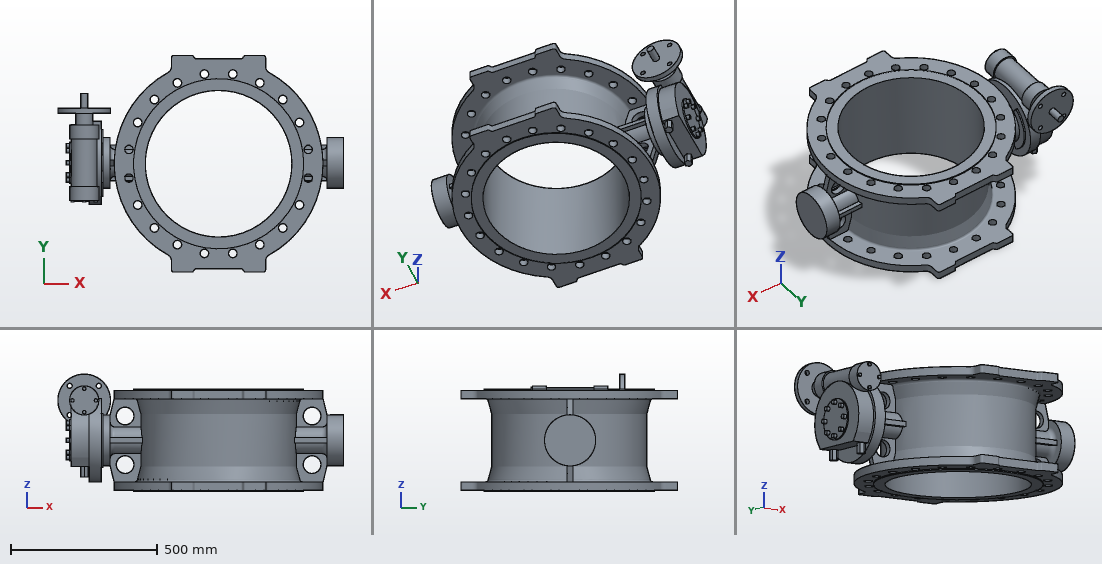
import cadquery as cq
import math


overall_length = 977.5
overall_width = 742.0
overall_height = 402.0

bore_d = 500.0
body_r = 266.0
body_straight_half = 90.0
neck_r = 278.0
neck_fillet = 9.0
face_to_face = 350.0
raised_face_d = 582.0
raised_face_height = 4.0
flange_d = 714.0
flange_thickness = 29.0
bolt_circle_d = 621.0
bolt_hole_d = 28.0
bolt_count = 20

flange_outer_z = face_to_face / 2 - raised_face_height
flange_inner_z = flange_outer_z - flange_thickness

foot_half_width = 161.0
foot_relief_depth = 12.0
foot_relief_half_width = 80.0
foot_relief_run = 9.0
foot_corner_fillet = 9.0
foot_relief_fillet = 6.0
foot_root_fillet = 23.0

select_margin = 1.0

stem_y = 3.0
stem_r = 47.0
stem_flare = 16.0
pad_inner_x = 370.0
pad_d = 175.0
web_thickness = 21.0
web_end_x = 358.0
web_tip_z = 90.0
web_hole_d = 60.0
web_hole_x = 320.0
web_hole_z = 83.0
rib_width = 123.0
rib_thickness = 18.0

pad_outer_x = -395.0
disc_inner_x = -401.0
case_inner_x = -443.0
case_outer_x = -504.0
cover_outer_x = -509.0
cover_bolt_outer_x = -521.0

spacer_d = 229.0
spacer_half_angle = 54.0
disc_d = 285.0
case_r = 132.0
case_shoulder_z = -60.0
case_flat_z = -90.0
case_flat_half_width = 99.0
cover_d = 143.0
cover_bolt_d = 16.0
cover_bolt_circle_r = 59.0
cover_bolt_count = 8

stop_corner_d = 28.0
stop_turn = 6.0
stop_spacing = 164.0
stop_length = 36.0

worm_x = -459.0
worm_cap_d = 100.0
worm_tube_d = 89.0
worm_half_length = 129.0
worm_cap_length = 48.0
cap_screw_d = 12.0
cap_screw_r = 40.0
cap_screw_height = 5.0
worm_neck_d = 60.0
input_flange_d = 181.0
input_flange_thickness = 19.0
input_flange_y = 169.0
input_hole_d = 17.0
input_hole_offset = 50.0
input_shaft_d = 25.0
input_shaft_end_y = 238.0

worm_z = overall_height - face_to_face / 2 - input_flange_d / 2
pad_end_x = overall_length + worm_x - input_flange_d / 2


def cylinder_x(diameter, x_start, x_end, y=stem_y, z=0.0):
    """Cylinder along X between two X planes."""
    low = min(x_start, x_end)
    plane = cq.Workplane("YZ", origin=(low, y, z))
    return plane.circle(diameter / 2).extrude(abs(x_end - x_start))


def cylinder_y(diameter, y_start, y_end, x=worm_x, z=worm_z):
    """Cylinder along Y; the Y planes are measured from the stem axis."""
    plane = cq.Workplane("XZ", origin=(x, stem_y + y_end, z))
    return plane.circle(diameter / 2).extrude(y_end - y_start)


def pipe_body():
    """Waisted barrel with raised faces, before boring."""
    arc_middle_r = neck_r + neck_fillet * (1 - math.cos(math.pi / 4))
    arc_start_z = flange_inner_z - neck_fillet
    arc_middle_z = arc_start_z + neck_fillet * math.sin(math.pi / 4)
    top_half = (
        cq.Workplane("XZ")
        .lineTo(body_r, 0)
        .lineTo(body_r, body_straight_half)
        .lineTo(neck_r, arc_start_z)
        .threePointArc((arc_middle_r, arc_middle_z), (neck_r + neck_fillet, flange_inner_z))
        .lineTo(raised_face_d / 2, flange_inner_z)
        .lineTo(raised_face_d / 2, face_to_face / 2)
        .lineTo(0, face_to_face / 2)
        .close()
        .revolve(360, (0, 0, 0), (0, 1, 0))
    )
    return top_half.union(top_half.mirror("XY"))


def edges_in_band(half_width, y_start, y_end):
    """Selector for flange edges within a band of X and Y, over the full flange thickness."""
    return cq.selectors.BoxSelector(
        (-half_width - select_margin, y_start - select_margin, -select_margin),
        (half_width + select_margin, y_end + select_margin, flange_thickness + select_margin),
    )


def flange_blank():
    """Round flange with a pair of relieved feet on each Y side, resting on Z = 0."""
    foot_y = overall_width / 2
    relief_y = foot_y - foot_relief_depth
    relief_outer = foot_relief_half_width + foot_relief_run
    root_y = math.sqrt((flange_d / 2) ** 2 - foot_half_width ** 2)

    feet = (
        cq.Workplane("XY")
        .rect(2 * foot_half_width, overall_width)
        .extrude(flange_thickness)
        .edges("|Z")
        .fillet(foot_corner_fillet)
    )
    blank = cq.Workplane("XY").circle(flange_d / 2).extrude(flange_thickness).union(feet)
    roots = edges_in_band(foot_half_width, -root_y, root_y)
    blank = blank.edges("|Z").edges(roots).fillet(foot_root_fillet)

    relief = (
        cq.Workplane("XY")
        .moveTo(-relief_outer, foot_y)
        .lineTo(-foot_relief_half_width, relief_y)
        .lineTo(foot_relief_half_width, relief_y)
        .lineTo(relief_outer, foot_y)
        .close()
        .extrude(flange_thickness)
    )
    blank = blank.cut(relief).cut(relief.mirror("XZ"))
    for y_start, y_end in ((relief_y, foot_y), (-foot_y, -relief_y)):
        corners = edges_in_band(relief_outer, y_start, y_end)
        blank = blank.edges("|Z").edges(corners).fillet(foot_relief_fillet)
    return blank


def bolt_holes():
    """Flange bolt holes, straddling the X and Y axes."""
    half_pitch = 180 / bolt_count
    return (
        cq.Workplane("XY", origin=(0, 0, flange_inner_z))
        .polarArray(bolt_circle_d / 2, half_pitch, 360, bolt_count)
        .circle(bolt_hole_d / 2)
        .extrude(flange_thickness)
    )


def stem_side():
    """Stem boss with its web and rib on the +X side, reaching in to the pipe axis."""
    arc_drop = stem_flare * (1 - math.cos(math.pi / 4))
    flare_start_x = pad_inner_x - stem_flare
    boss = (
        cq.Workplane("XY", origin=(0, stem_y, 0))
        .lineTo(0, stem_r)
        .lineTo(flare_start_x, stem_r)
        .threePointArc(
            (flare_start_x + stem_flare * math.sin(math.pi / 4), stem_r + arc_drop),
            (pad_inner_x, stem_r + stem_flare),
        )
        .lineTo(pad_inner_x, 0)
        .close()
        .revolve(360, (0, 0, 0), (1, 0, 0))
    )
    web = (
        cq.Workplane("XZ", origin=(0, stem_y + web_thickness / 2, 0))
        .moveTo(0, flange_inner_z)
        .lineTo(web_end_x, flange_inner_z)
        .lineTo(pad_inner_x, web_tip_z)
        .lineTo(pad_inner_x, -web_tip_z)
        .lineTo(web_end_x, -flange_inner_z)
        .lineTo(0, -flange_inner_z)
        .close()
        .extrude(web_thickness)
    )
    holes = (
        cq.Workplane("XZ", origin=(0, stem_y + web_thickness / 2, 0))
        .pushPoints([(web_hole_x, web_hole_z), (web_hole_x, -web_hole_z)])
        .circle(web_hole_d / 2)
        .extrude(web_thickness)
    )
    rib = (
        cq.Workplane("XY", origin=(pad_inner_x / 2, stem_y, 0))
        .box(pad_inner_x, rib_width, rib_thickness)
    )
    return web.cut(holes).union(boss).union(rib)


def spacer():
    """Bow-tie spacer between the stem pad and the gearbox: a hub with two sector wings."""
    outer_r = spacer_d / 2
    wing_y = outer_r * math.cos(math.radians(spacer_half_angle))
    wing_z = outer_r * math.sin(math.radians(spacer_half_angle))
    length = pad_outer_x - disc_inner_x
    shape = cylinder_x(2 * stem_r, disc_inner_x, pad_outer_x)
    for side in (-1, 1):
        wing = (
            cq.Workplane("YZ", origin=(disc_inner_x, stem_y, 0))
            .lineTo(side * wing_y, -wing_z)
            .threePointArc((side * outer_r, 0), (side * wing_y, wing_z))
            .close()
            .extrude(length)
        )
        shape = shape.union(wing)
    return shape


def gear_case():
    """Gear case with its backing disc, bolted cover and two hexagonal stop screws."""
    shoulder_y = math.sqrt(case_r ** 2 - case_shoulder_z ** 2)
    case = (
        cq.Workplane("YZ", origin=(case_outer_x, stem_y, 0))
        .moveTo(shoulder_y, case_shoulder_z)
        .threePointArc((0, case_r), (-shoulder_y, case_shoulder_z))
        .lineTo(-case_flat_half_width, case_flat_z)
        .lineTo(case_flat_half_width, case_flat_z)
        .close()
        .extrude(case_inner_x - case_outer_x)
    )
    case = case.union(cylinder_x(disc_d, case_inner_x, disc_inner_x))
    case = case.union(cylinder_x(cover_d, cover_outer_x, case_outer_x))
    for i in range(cover_bolt_count):
        angle = 2 * math.pi * i / cover_bolt_count
        y = stem_y + cover_bolt_circle_r * math.cos(angle)
        z = cover_bolt_circle_r * math.sin(angle)
        case = case.union(cylinder_x(cover_bolt_d, cover_bolt_outer_x, cover_outer_x, y, z))
    for side in (-1, 1):
        stop = (
            cq.Workplane("XY")
            .polygon(6, stop_corner_d)
            .extrude(-stop_length)
            .rotate((0, 0, 0), (0, 0, 1), 90 + stop_turn)
            .translate((worm_x, stem_y + side * stop_spacing / 2, case_flat_z))
        )
        case = case.union(stop)
    return case


def worm_housing():
    """Worm tube with end caps, cap screws, neck, input flange and input shaft."""
    cap_inner = worm_half_length - worm_cap_length
    flange_end = input_flange_y + input_flange_thickness
    housing = cylinder_y(worm_tube_d, -cap_inner, cap_inner)
    housing = housing.union(cylinder_y(worm_cap_d, -worm_half_length, -cap_inner))
    housing = housing.union(cylinder_y(worm_cap_d, cap_inner, worm_half_length))
    for dx, dz in ((1, 0), (0, 1), (-1, 0), (0, -1)):
        screw = cylinder_y(
            cap_screw_d,
            -worm_half_length - cap_screw_height,
            -worm_half_length,
            worm_x + dx * cap_screw_r,
            worm_z + dz * cap_screw_r,
        )
        housing = housing.union(screw)
    input_flange = cylinder_y(input_flange_d, input_flange_y, flange_end)
    for dx in (-input_hole_offset, input_hole_offset):
        for dz in (-input_hole_offset, input_hole_offset):
            hole = cylinder_y(input_hole_d, input_flange_y, flange_end, worm_x + dx, worm_z + dz)
            input_flange = input_flange.cut(hole)
    housing = housing.union(cylinder_y(worm_neck_d, worm_half_length, input_flange_y))
    housing = housing.union(input_flange)
    return housing.union(cylinder_y(input_shaft_d, flange_end, input_shaft_end_y))


top_flange = flange_blank().translate((0, 0, flange_inner_z))
right_stem = stem_side()
valve = pipe_body().union(top_flange).union(top_flange.mirror("XY"))
valve = valve.union(right_stem).union(right_stem.mirror("YZ"))
valve = valve.union(cylinder_x(pad_d, pad_inner_x, pad_end_x))
valve = valve.union(cylinder_x(pad_d, pad_outer_x, -pad_inner_x))

top_holes = bolt_holes()
bore = cq.Workplane("XY").circle(bore_d / 2).extrude(face_to_face / 2, both=True)
valve = valve.cut(top_holes).cut(top_holes.mirror("XY")).cut(bore)

result = valve.union(spacer()).union(gear_case()).union(worm_housing())